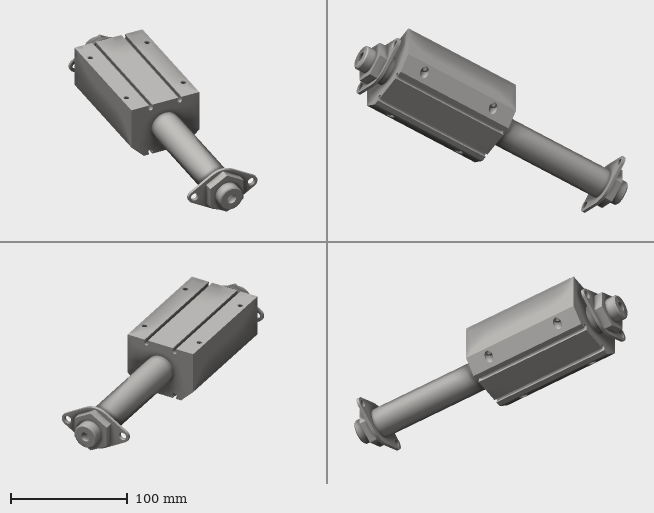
import cadquery as cq
import math


rod_length = 266.0
rod_diameter = 26.5
thread_diameter = 22.0
thread_chamfer = 1.0
port_diameter = 8.5
port_depth = 10.0
nut_offset = 9.3
nut_thickness = 7.7
nut_across_flats = 32.0
flange_thickness = 2.7
flange_height = 39.5
flange_width = 66.0
flange_hole_spacing = 54.3
flange_hole_diameter = 6.5
flange_hole_chamfer = 0.5

block_length = 109.9
block_width = 65.0
block_height = 50.0
block_offset = 27.7
bottom_chamfer = 12.0
mount_spacing_x = 70.0
mount_hole_diameter = 4.3
mount_hole_chamfer = 0.5
mount_counterbore_diameter = 7.5
mount_counterbore_depth = bottom_chamfer

slot_spacing = 28.0
slot_neck_width = 3.2
slot_neck_depth = 1.5
slot_width = 4.3
slot_depth = 5.3

rod_start = -rod_length / 2
nut_start = rod_start + nut_offset
flange_start = nut_start + nut_thickness
flange_end = flange_start + flange_thickness
block_start = rod_start + block_offset
block_middle = block_start + block_length / 2


def plane_at(x):
    """Sketch plane across the rod at x, with local axes along Y and Z."""
    return cq.Workplane("YZ", origin=(x, 0, 0))


def rim_cone(hole_diameter, chamfer, inward):
    """Cone that chamfers the rim of a hole; inward is the sign of local Z going into the hole."""
    hole_radius = hole_diameter / 2
    return cq.Solid.makeCone(hole_radius + chamfer, hole_radius, chamfer, dir=cq.Vector(0, 0, inward))


def flange():
    """Plate with a large round middle, two small round ears and straight tangent sides."""
    middle_radius = flange_height / 2
    ear_y = flange_hole_spacing / 2
    ear_radius = flange_width / 2 - ear_y
    tangent_sine = (middle_radius - ear_radius) / ear_y
    tangent_cosine = math.sqrt(1 - tangent_sine**2)
    middle_point_y = middle_radius * tangent_sine
    middle_point_z = middle_radius * tangent_cosine
    ear_point_y = ear_y + ear_radius * tangent_sine
    ear_point_z = ear_radius * tangent_cosine
    plate = (
        plane_at(flange_start)
        .moveTo(-middle_point_y, middle_point_z)
        .threePointArc((0, middle_radius), (middle_point_y, middle_point_z))
        .lineTo(ear_point_y, ear_point_z)
        .threePointArc((flange_width / 2, 0), (ear_point_y, -ear_point_z))
        .lineTo(middle_point_y, -middle_point_z)
        .threePointArc((0, -middle_radius), (-middle_point_y, -middle_point_z))
        .lineTo(-ear_point_y, -ear_point_z)
        .threePointArc((-flange_width / 2, 0), (-ear_point_y, ear_point_z))
        .close()
        .extrude(flange_thickness)
    )
    hole_centers = plane_at(flange_start).rarray(flange_hole_spacing, 2.7, 2, 1)
    holes = hole_centers.circle(flange_hole_diameter / 2).extrude(flange_thickness)
    rim = rim_cone(flange_hole_diameter, flange_hole_chamfer, inward=1)
    rims = hole_centers.eachpoint(rim, useLocalCoordinates=True)
    return plate.cut(holes).cut(rims)


def nut():
    """Hexagonal nut with two corners pointing up and down."""
    corner_diameter = nut_across_flats / math.cos(math.pi / 6)
    return (
        plane_at(nut_start)
        .transformed(rotate=(0, 0, 90))
        .polygon(6, corner_diameter)
        .extrude(nut_thickness)
    )


def threaded_end():
    """Stub outside the nut, with a chamfered tip."""
    return (
        plane_at(rod_start)
        .circle(thread_diameter / 2)
        .extrude(flange_end - rod_start)
        .faces("<X")
        .chamfer(thread_chamfer)
    )


def make_rod():
    """Rod with a flange, a nut and a threaded stub with a blind axial port at each end."""
    rod_body_length = -2 * flange_start
    rod = plane_at(flange_start).circle(rod_diameter / 2).extrude(rod_body_length)
    fittings = flange().union(nut()).union(threaded_end())
    port = plane_at(rod_start).circle(port_diameter / 2).extrude(port_depth)
    rod = rod.union(fittings).union(fittings.mirror("YZ"))
    return rod.cut(port).cut(port.mirror("YZ"))


def slot(y):
    """Undercut slot in the top of the block, with a narrow neck and a round floor."""
    top = block_height / 2
    shoulder = top - slot_neck_depth
    floor = top - slot_depth
    half_neck = slot_neck_width / 2
    half_width = slot_width / 2
    return (
        plane_at(block_start)
        .moveTo(y - half_neck, top)
        .lineTo(y - half_neck, shoulder)
        .lineTo(y - half_width, shoulder)
        .lineTo(y - half_width, floor + half_width)
        .threePointArc((y, floor), (y + half_width, floor + half_width))
        .lineTo(y + half_width, shoulder)
        .lineTo(y + half_neck, shoulder)
        .lineTo(y + half_neck, top)
        .close()
        .extrude(block_length)
    )


def mounting_holes():
    """Vertical holes through the block, counterbored from below and chamfered at the top."""
    bottom = cq.Workplane("XY", origin=(block_middle, 0, -block_height / 2))
    pattern = bottom.rarray(mount_spacing_x, flange_hole_spacing, 2, 2)
    drills = pattern.circle(mount_hole_diameter / 2).extrude(block_height)
    counterbores = pattern.circle(mount_counterbore_diameter / 2).extrude(mount_counterbore_depth)
    rim = rim_cone(mount_hole_diameter, mount_hole_chamfer, inward=-1)
    top = cq.Workplane("XY", origin=(block_middle, 0, block_height / 2))
    rims = top.rarray(mount_spacing_x, flange_hole_spacing, 2, 2).eachpoint(
        rim, useLocalCoordinates=True
    )
    return drills.union(counterbores).union(rims)


def make_block():
    """Carriage block that slides on the rod."""
    block = (
        cq.Workplane("XY")
        .box(block_length, block_width, block_height)
        .translate((block_middle, 0, 0))
        .edges("|X and <Z")
        .chamfer(bottom_chamfer)
    )
    bore = plane_at(block_start).circle(rod_diameter / 2).extrude(block_length)
    block = block.cut(bore)
    for y in (-slot_spacing / 2, slot_spacing / 2):
        top_slot = slot(y)
        block = block.cut(top_slot).cut(top_slot.mirror("XY"))
    return block.cut(mounting_holes())


rod = make_rod()
block = make_block()
result = cq.Compound.makeCompound([rod.solids().val(), block.solids().val()])